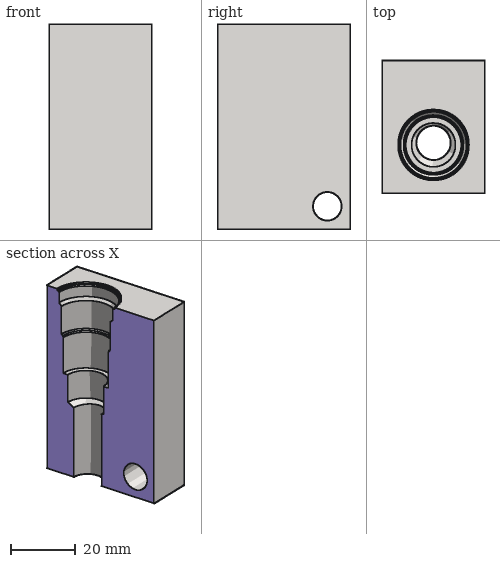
import cadquery as cq
import math

width = 31.75
depth = 41.15
height = 63.5

cavity_x = width / 2
cavity_y = 15.0
spotface_radius = 11.0
spotface_depth = 0.6
lead_in_radius = 10.55
lead_in_end_depth = 1.0
upper_bore_radius = 10.2
upper_bore_depth = 4.65
middle_bore_radius = 9.3
middle_bore_depth = 15.25
middle_taper_radius = 8.8
lower_bore_radius = 8.6
lower_taper_length = 0.5
lower_bore_depth = 28.6

pilot_radius = 6.8
pilot_depth = 38.1
drill_tip_half_angle = math.radians(59)

bottom_hole_radius = 5.3
bottom_hole_offset_y = 0.65

cross_hole_radius = 4.4
cross_hole_inset = 7.2
cross_hole_y = depth - cross_hole_inset
cross_hole_z = cross_hole_inset


def make_cavity():
    """Solid of revolution for the stepped cavity, including the conical drill tip."""
    middle_bore_start = upper_bore_depth + upper_bore_radius - middle_bore_radius
    taper_start = middle_bore_depth + middle_bore_radius - middle_taper_radius
    tip_depth = pilot_depth + pilot_radius / math.tan(drill_tip_half_angle)
    steps = [
        (0, 0),
        (spotface_radius, 0),
        (spotface_radius, spotface_depth),
        (lead_in_radius, spotface_depth),
        (upper_bore_radius, lead_in_end_depth),
        (upper_bore_radius, upper_bore_depth),
        (middle_bore_radius, middle_bore_start),
        (middle_bore_radius, middle_bore_depth),
        (middle_taper_radius, taper_start),
        (lower_bore_radius, taper_start + lower_taper_length),
        (lower_bore_radius, lower_bore_depth),
        (pilot_radius, lower_bore_depth),
        (pilot_radius, pilot_depth),
        (0, tip_depth),
    ]
    profile = [(radius, -step_depth) for radius, step_depth in steps]
    cavity = cq.Workplane("XZ").polyline(profile).close().revolve(360, (0, 0), (0, 1))
    return cavity.translate((cavity_x, cavity_y, height))


def make_bottom_hole():
    """Cylinder from the bottom face up to where the drill tip of the pilot hole begins."""
    bottom_hole = cq.Workplane("XY").circle(bottom_hole_radius).extrude(height - pilot_depth)
    return bottom_hole.translate((cavity_x, cavity_y + bottom_hole_offset_y, 0))


def make_cross_hole():
    """Cylinder through the full width of the block."""
    return cq.Workplane("YZ").center(cross_hole_y, cross_hole_z).circle(cross_hole_radius).extrude(width)


block = cq.Workplane("XY").box(width, depth, height, centered=False)
result = block.cut(make_cavity()).cut(make_bottom_hole()).cut(make_cross_hole())